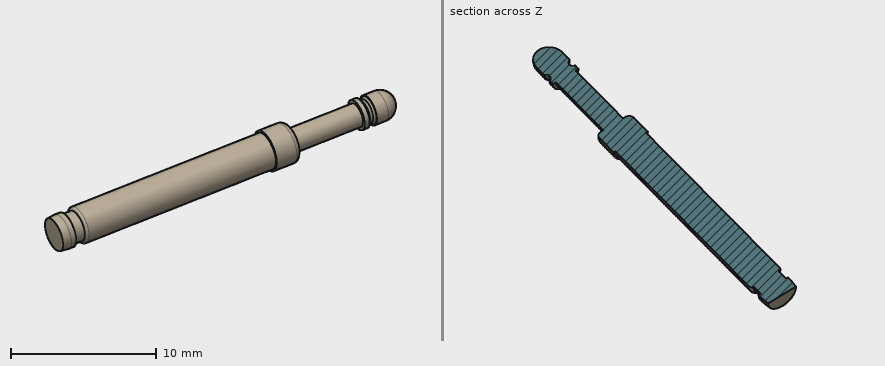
import cadquery as cq
import math


total_length = 27.3
tip_y = total_length / 2
tail_y = -total_length / 2

head_radius = 2.25 / 2
rod_radius = 1.75 / 2
head_length = 2.02
flange_top_depth = 2.6
flange_bottom_depth = 3.0
groove_chamfer = 0.16

collar_radius = 3.0 / 2
collar_top_depth = 8.3
collar_length = 2.0
collar_round = 0.4

barrel_radius = 2.7 / 2
barrel_end_height = 1.8
barrel_end_round = 0.2
neck_radius = head_radius
tail_radius = 2.57 / 2
tail_end_radius = 2.43 / 2
tail_height = 1.0
tail_taper_height = 0.6

head_end_y = tip_y - head_length
flange_top_y = tip_y - flange_top_depth
flange_bottom_y = tip_y - flange_bottom_depth
collar_top_y = tip_y - collar_top_depth
collar_end_y = collar_top_y - collar_length
barrel_end_y = tail_y + barrel_end_height
tail_top_y = tail_y + tail_height
tail_taper_y = tail_y + tail_taper_height


def cylinder(radius, high_y, low_y):
    """Solid cylinder on the Y axis; the XZ plane faces -Y, so it runs down from high_y."""
    return cq.Workplane("XZ", origin=(0, high_y, 0)).circle(radius).extrude(high_y - low_y)


def make_plunger():
    """Rod carrying the flange and the domed head, with chamfers into the groove between them."""
    dome_y = tip_y - head_radius
    dome_mid = head_radius * math.sin(math.pi / 4)
    groove_rim_radius = rod_radius + groove_chamfer
    profile = (
        cq.Workplane("XY")
        .moveTo(0, tip_y)
        .threePointArc((dome_mid, dome_y + dome_mid), (head_radius, dome_y))
        .lineTo(head_radius, head_end_y)
        .lineTo(groove_rim_radius, head_end_y)
        .lineTo(rod_radius, head_end_y - groove_chamfer)
        .lineTo(rod_radius, flange_top_y + groove_chamfer)
        .lineTo(groove_rim_radius, flange_top_y)
        .lineTo(head_radius, flange_top_y)
        .lineTo(head_radius, flange_bottom_y)
        .lineTo(rod_radius, flange_bottom_y)
        .lineTo(rod_radius, collar_top_y)
        .lineTo(0, collar_top_y)
        .close()
    )
    return profile.revolve(360, (0, 0, 0), (0, 1, 0))


def make_barrel():
    """Barrel with a rounded collar at its mouth and a rounded lower end."""
    collar = cylinder(collar_radius, collar_top_y, collar_end_y)
    collar = collar.faces(">Y").edges().fillet(collar_round)
    tube = cylinder(barrel_radius, collar_end_y, barrel_end_y)
    tube = tube.faces("<Y").edges().fillet(barrel_end_round)
    return collar.union(tube)


def make_tail():
    """Neck below the barrel and the end button, which tapers to a flat face."""
    neck = cylinder(neck_radius, barrel_end_y, tail_top_y)
    button = cylinder(tail_radius, tail_top_y, tail_taper_y)
    taper = (
        cq.Workplane("XZ", origin=(0, tail_taper_y, 0))
        .circle(tail_radius)
        .workplane(offset=tail_taper_height)
        .circle(tail_end_radius)
        .loft(ruled=True)
    )
    return neck.union(button).union(taper)


result = make_plunger().union(make_barrel()).union(make_tail())